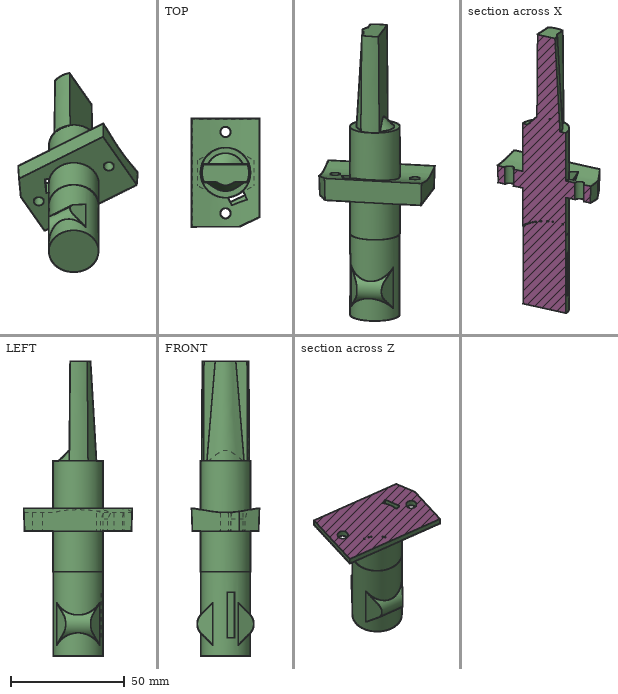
import cadquery as cq
import math

TOTAL_HEIGHT = 130.0
UPPER_DIAMETER = 22.1
LOWER_DIAMETER = 22.0
LOWER_SHIFT_Y = (LOWER_DIAMETER - UPPER_DIAMETER) / 2
STEP_Z = 37.2
SHOULDER_Z = 86.1

FLANGE_X = 30.0
FLANGE_Y = 48.0
FLANGE_BOTTOM_Z = 55.1
FLANGE_TOP_Z = 65.3
FLANGE_DRAFT = 2.0
FLANGE_LAND = 0.4
DISH_HALF_WIDTH = 6.9
DISH_ANGLE = 10.0
CORNER_CUT_X = 8.8
CORNER_CUT_Y = 4.3
HOLE_DIAMETER = 4.4
HOLE_OFFSET = 18.0

SLOT_ANGLE = 25.0
SLOT_WIDTH = 7.2
SLOT_INNER = 9.8
SLOT_OUTER = 12.6
SLOT_BEVEL_Z = 60.6
SLOT_BEVEL_ANGLE = 30.0

BLADE_DRAFT = 0.5
BLADE_END_DRAFT = 0.3
BLADE_BASE_RADIUS = 10.5
BLADE_BACK_Y = 3.9
BLADE_FRONT_Y = 4.4
BACK_CONE_RADIUS = 8.6
RIB_BASE_RADIUS = 8.2
RIB_BASE_ARC_X = 4.8
RIB_BASE_FOOT_X = 8.2
RIB_TOP_RADIUS = 5.6
RIB_TOP_ARC_X = 3.4
RIB_TOP_FOOT_X = 4.5

WING_Z = 14.2
WING_ROOT_X = 5.6
WING_ROOT_Y = 9.5
WING_NARROWING = 30.0
WING_HALF_HEIGHT = 9.4
WING_NOSE_RADIUS = 5.9

LABEL_ANGLE = 13.0
LABEL_WIDTH = 3.3
LABEL_BOTTOM_Z = 8.0
LABEL_TOP_Z = 28.1
LABEL_DEPTH = 0.4

BLADE_HEIGHT = TOTAL_HEIGHT - SHOULDER_Z
BLADE_LEAN = BLADE_HEIGHT * math.tan(math.radians(BLADE_DRAFT))


def make_barrels():
    lower = cq.Workplane("XY").center(0, LOWER_SHIFT_Y).circle(LOWER_DIAMETER / 2).extrude(STEP_Z)
    upper = (
        cq.Workplane("XY", origin=(0, 0, STEP_Z))
        .circle(UPPER_DIAMETER / 2)
        .extrude(SHOULDER_Z - STEP_Z)
    )
    return lower.union(upper)


def make_flange():
    height = FLANGE_TOP_Z - FLANGE_BOTTOM_Z
    half_x = FLANGE_X / 2
    half_y = FLANGE_Y / 2
    block = (
        cq.Workplane("XY", origin=(0, 0, FLANGE_TOP_Z))
        .polyline(
            [
                (-half_x, -half_y),
                (half_x - CORNER_CUT_X, -half_y),
                (half_x, -half_y + CORNER_CUT_Y),
                (half_x, half_y),
                (-half_x, half_y),
            ]
        )
        .close()
        .extrude(-height, taper=FLANGE_DRAFT)
    )

    angle = math.radians(DISH_ANGLE)
    dish_edge_x = half_x - FLANGE_LAND
    tangent_z = FLANGE_TOP_Z - (dish_edge_x - DISH_HALF_WIDTH) * math.tan(angle)
    middle_z = tangent_z - DISH_HALF_WIDTH * math.tan(angle / 2)
    dish = (
        cq.Workplane("XZ")
        .moveTo(-dish_edge_x, FLANGE_TOP_Z)
        .lineTo(-DISH_HALF_WIDTH, tangent_z)
        .threePointArc((0, middle_z), (DISH_HALF_WIDTH, tangent_z))
        .lineTo(dish_edge_x, FLANGE_TOP_Z)
        .close()
        .extrude(FLANGE_Y, both=True)
    )
    holes = (
        cq.Workplane("XY", origin=(0, 0, FLANGE_BOTTOM_Z))
        .pushPoints([(0, -HOLE_OFFSET), (0, HOLE_OFFSET)])
        .circle(HOLE_DIAMETER / 2)
        .extrude(height)
    )
    return block.cut(dish).cut(holes).cut(make_slot_cutter())


def make_slot_cutter():
    """Slot through the flange whose outer wall is beveled at the top."""
    bevel_reach = (FLANGE_TOP_Z - SLOT_BEVEL_Z) * math.tan(math.radians(SLOT_BEVEL_ANGLE))
    return (
        cq.Workplane("YZ")
        .polyline(
            [
                (-SLOT_INNER, FLANGE_BOTTOM_Z),
                (-SLOT_OUTER, FLANGE_BOTTOM_Z),
                (-SLOT_OUTER, SLOT_BEVEL_Z),
                (-SLOT_OUTER - bevel_reach, FLANGE_TOP_Z),
                (-SLOT_INNER, FLANGE_TOP_Z),
            ]
        )
        .close()
        .extrude(SLOT_WIDTH / 2, both=True)
        .rotate((0, 0, 0), (0, 0, 1), SLOT_ANGLE)
    )


def make_blade():
    """Tapered round bar with a flat on the front and on the back."""
    bar = cq.Workplane("XY", origin=(0, 0, SHOULDER_Z)).circle(BLADE_BASE_RADIUS)
    bar = bar.extrude(BLADE_HEIGHT, taper=BLADE_END_DRAFT)
    flats = (
        cq.Workplane("YZ")
        .polyline(
            [
                (-BLADE_FRONT_Y, SHOULDER_Z),
                (BLADE_BACK_Y, SHOULDER_Z),
                (BLADE_BACK_Y - BLADE_LEAN, TOTAL_HEIGHT),
                (-BLADE_FRONT_Y + BLADE_LEAN, TOTAL_HEIGHT),
            ]
        )
        .close()
        .extrude(UPPER_DIAMETER, both=True)
    )
    return bar.intersect(flats)


def flank_section(z, radius, arc_x, foot_x, foot_y):
    """Closed outline of the rib flanks, cut straight between the ends of the round front."""
    arc_y = math.sqrt(radius**2 - arc_x**2)
    return cq.Wire.makePolygon(
        [
            cq.Vector(-foot_x, 0, z),
            cq.Vector(-foot_x, -foot_y, z),
            cq.Vector(-arc_x, -arc_y, z),
            cq.Vector(arc_x, -arc_y, z),
            cq.Vector(foot_x, -foot_y, z),
            cq.Vector(foot_x, 0, z),
        ],
        close=True,
    )


def make_front_rib():
    """Half cone along the blade front, with a slanted flank on each side."""
    base = flank_section(SHOULDER_Z, RIB_BASE_RADIUS, RIB_BASE_ARC_X, RIB_BASE_FOOT_X, BLADE_FRONT_Y)
    top = flank_section(
        TOTAL_HEIGHT, RIB_TOP_RADIUS, RIB_TOP_ARC_X, RIB_TOP_FOOT_X, BLADE_FRONT_Y - BLADE_LEAN
    )
    flanks = cq.Workplane(cq.Solid.makeLoft([base, top], True))
    return flanks.union(half_cone(RIB_BASE_RADIUS, RIB_TOP_RADIUS, BLADE_HEIGHT, 180))


def half_cone(base_radius, top_radius, height, turn):
    """Half cone on the shoulder: on the +Y side, or on the -Y side when turned 180 degrees."""
    cone = cq.Solid.makeCone(base_radius, top_radius, height, angleDegrees=180)
    return cq.Workplane(cone).rotate((0, 0, 0), (0, 0, 1), turn).translate((0, 0, SHOULDER_Z))


def make_back_cone():
    """Half of a 45 degree cone that braces the back of the blade."""
    return half_cone(BACK_CONE_RADIUS, 0, BACK_CONE_RADIUS, 0)


def make_wings():
    """Both side wings: a pointed outline with rounded noses, narrowed toward the tips."""
    apex_x = WING_ROOT_X + WING_HALF_HEIGHT
    apex_y = WING_ROOT_Y - WING_HALF_HEIGHT * math.tan(math.radians(WING_NARROWING))
    profile = (
        cq.Workplane("XZ")
        .polyline(
            [
                (apex_x, WING_Z),
                (0, WING_Z + apex_x),
                (-apex_x, WING_Z),
                (0, WING_Z - apex_x),
            ]
        )
        .close()
        .extrude(UPPER_DIAMETER, both=True)
        .edges("<X or >X")
        .fillet(WING_NOSE_RADIUS)
    )
    plan = (
        cq.Workplane("XY", origin=(0, LOWER_SHIFT_Y, WING_Z))
        .polyline(
            [
                (-apex_x, -apex_y),
                (-WING_ROOT_X, -WING_ROOT_Y),
                (WING_ROOT_X, -WING_ROOT_Y),
                (apex_x, -apex_y),
                (apex_x, apex_y),
                (WING_ROOT_X, WING_ROOT_Y),
                (-WING_ROOT_X, WING_ROOT_Y),
                (-apex_x, apex_y),
            ]
        )
        .close()
        .extrude(WING_HALF_HEIGHT, both=True)
    )
    return profile.intersect(plan)


def make_label_cutter():
    """Shallow upright recess in the barrel wall, square to the wall."""
    height = LABEL_TOP_Z - LABEL_BOTTOM_Z
    return (
        cq.Workplane("XY", origin=(0, -LOWER_DIAMETER / 2, LABEL_BOTTOM_Z))
        .rect(LABEL_WIDTH, 2 * LABEL_DEPTH)
        .extrude(height)
        .rotate((0, 0, 0), (0, 0, 1), LABEL_ANGLE)
    )


result = (
    make_barrels()
    .union(make_flange())
    .union(make_blade())
    .union(make_front_rib())
    .union(make_back_cone())
    .union(make_wings())
    .cut(make_label_cutter())
)